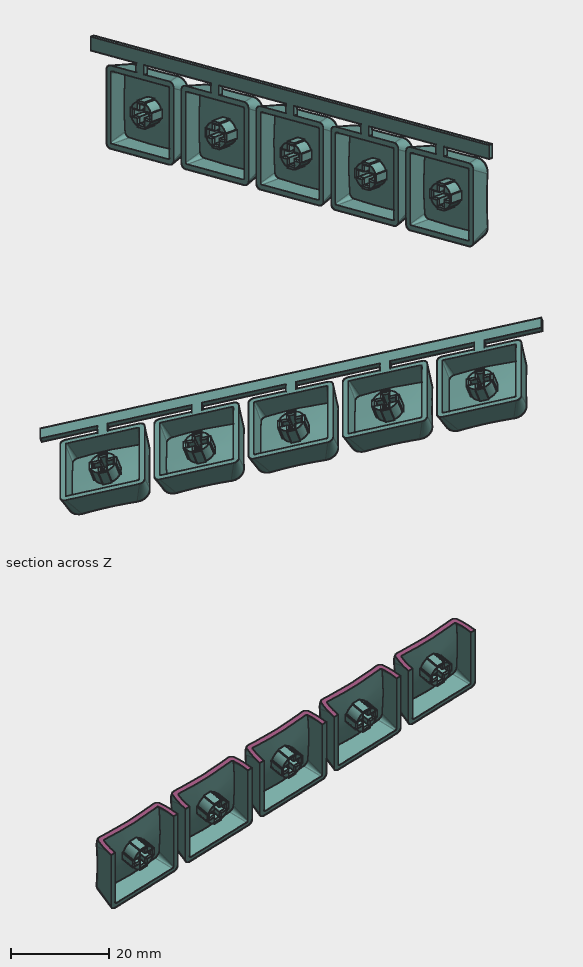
import cadquery as cq

strip_length = 106.4
strip_height = 3.0
strip_thickness = 1.1
tab_width = 2.1
total_height = 22.9

cap_count = 5
cap_pitch = 20.0
cap_width = 18.0
cap_height = 17.9
cap_depth = 5.5
base_corner_radius = 1.2
top_corner_radius = 3.2
side_inset = 0.4
upper_inset = 0.6
lower_inset = 0.4
edge_fillet = 0.9

dish_radius = 68.1
dish_floor = 4.8
roof_thickness = 1.3

wall = 1.2
cavity_side_inset = 0.3
cavity_end_inset = 0.6
cavity_mouth_radius = 0.3
cavity_floor_radius = 1.3

stem_diameter = 5.5
stem_front = 0.3
rib_span = 5.7
rib_width = 1.9
cross_length = 4.1
cross_width = 1.3
socket_depth = 3.2
lead_in = 0.3

overlap = 0.4

cap_center_z = cap_height / 2
dish_center_y = dish_floor + dish_radius


def plane_at(y):
    """Sketch plane at depth y: local x runs along Z, local y along X, normal +Y."""
    return cq.Workplane("ZX", origin=(0, y, 0))


def rounded_rect(y, z_low, z_high, width, radius):
    """Rounded rectangle placed at depth y above the y = 0 sketch plane."""
    center = cq.Location(cq.Vector((z_low + z_high) / 2, 0, y))
    return cq.Sketch().rect(z_high - z_low, width).vertices().fillet(radius).moved(center)


def tapered_block(front, back):
    """Straight-sided solid between two rounded rectangles at different depths."""
    return plane_at(0).placeSketch(front, back).loft(ruled=True)


def dish_sphere(radius):
    return cq.Workplane("XY", origin=(0, dish_center_y, cap_center_z)).sphere(radius)


def cap_body():
    block = tapered_block(
        rounded_rect(0, 0, cap_height, cap_width, base_corner_radius),
        rounded_rect(
            cap_depth + overlap,
            lower_inset,
            cap_height - upper_inset,
            cap_width - 2 * side_inset,
            top_corner_radius,
        ),
    )
    dished = block.cut(dish_sphere(dish_radius))
    return dished.faces(">Y").edges().fillet(edge_fillet)


def cap_cavity():
    """Tapered pocket whose floor is concentric with the dish."""
    mouth_width = cap_width - 2 * wall
    floor_end = wall + cavity_end_inset
    pocket = tapered_block(
        rounded_rect(0, wall, cap_height - wall, mouth_width, cavity_mouth_radius),
        rounded_rect(
            cap_depth,
            floor_end,
            cap_height - floor_end,
            mouth_width - 2 * cavity_side_inset,
            cavity_floor_radius,
        ),
    )
    return pocket.cut(dish_sphere(dish_radius + roof_thickness))


def cross(length, width, depth, taper=0):
    """Two crossed bars starting at the stem front; taper is in degrees."""
    base = plane_at(stem_front).center(cap_center_z, 0)
    upright = base.rect(length, width).extrude(depth, taper=taper)
    level = base.rect(width, length).extrude(depth, taper=taper)
    return upright.union(level)


def stem():
    length = dish_floor - overlap - stem_front
    post = plane_at(stem_front).center(cap_center_z, 0).circle(stem_diameter / 2).extrude(length)
    ribs = cross(rib_span, rib_width, length)
    socket = cross(cross_length, cross_width, socket_depth)
    mouth = cross(cross_length + 2 * lead_in, cross_width + 2 * lead_in, lead_in, taper=45)
    return post.union(ribs).cut(socket).cut(mouth)


def strip_bar(width, z_low, z_high):
    """Flat bar centred on X, lying on the y = 0 plane."""
    return (
        cq.Workplane("XY", origin=(0, 0, z_low))
        .box(width, strip_thickness, z_high - z_low, centered=(True, False, False))
    )


strip_bottom = total_height - strip_height
strip = strip_bar(strip_length, strip_bottom, total_height)
tab = strip_bar(tab_width, cap_height - overlap, strip_bottom + overlap)
keycap = cap_body().cut(cap_cavity()).union(stem()).union(tab)

result = strip
for index in range(cap_count):
    cap_x = (index - (cap_count - 1) / 2) * cap_pitch
    result = result.union(keycap.translate((cap_x, 0, 0)))